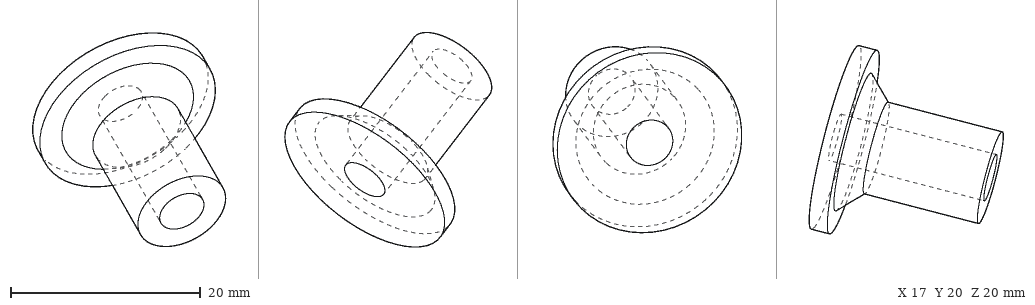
import cadquery as cq

total_length = 17.0
flange_diameter = 20.0
flange_thickness = 2.0
sleeve_diameter = 10.0
bore_diameter = 5.05
cone_length = 2.5

flange_radius = flange_diameter / 2
sleeve_radius = sleeve_diameter / 2
bore_radius = bore_diameter / 2
cone_base_radius = sleeve_radius + cone_length
cone_end = flange_thickness + cone_length

half_section = [
    (0, bore_radius),
    (0, flange_radius),
    (flange_thickness, flange_radius),
    (flange_thickness, cone_base_radius),
    (cone_end, sleeve_radius),
    (total_length, sleeve_radius),
    (total_length, bore_radius),
]

result = (
    cq.Workplane("XY")
    .polyline(half_section)
    .close()
    .revolve(360, (0, 0, 0), (1, 0, 0))
)